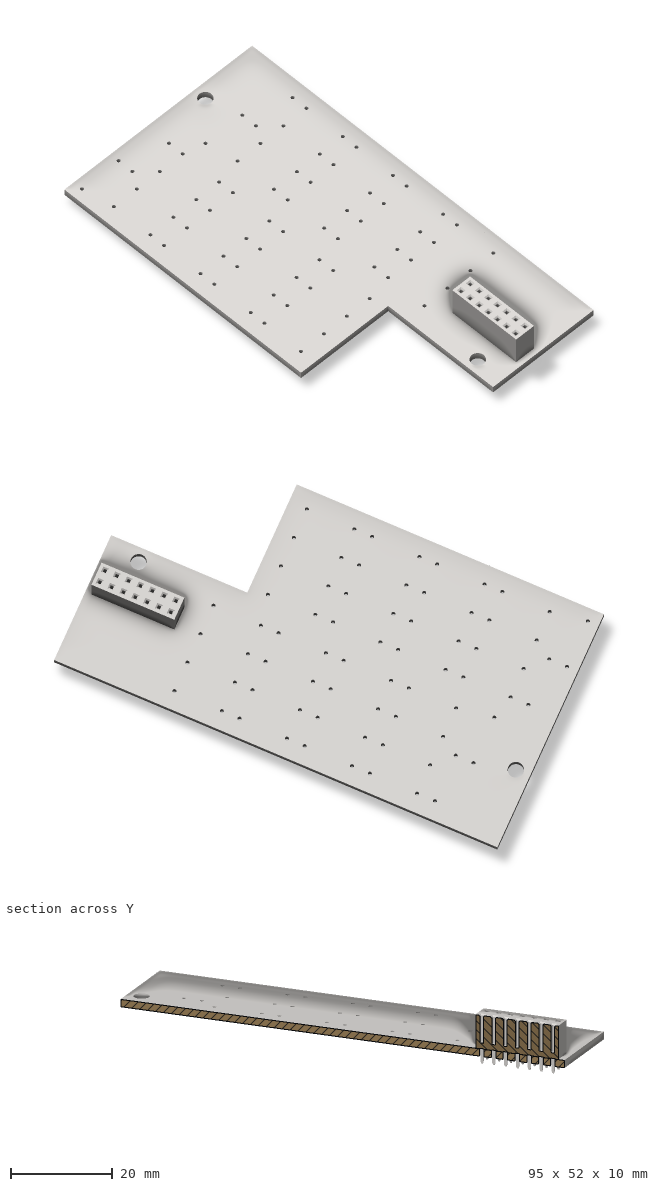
import cadquery as cq

header_length = 17.8
header_columns = 7
header_rows = 2
grid = header_length / header_columns

board_length = 95.0
board_depth = 52.0
board_thickness = 1.6
notch_left = 65.9
notch_bottom = 24.1

mount_hole_diameter = 3.2
mount_hole_centres = [(3.0, 36.0), (87.9, 27.0)]

lead_hole_diameter = 0.8
lead_span = 4 * grid
component_gap = 1.5 * grid
component_pitch = lead_span + component_gap
row_pitch = 2.5 * grid
rows_per_block = 4
components_per_row = 4
upright_components = 2
top_row_margin = 3.7
top_row_y = board_depth - top_row_margin
upper_block_x = 18.8
block_shift = 3.5 * grid
lower_block_x = upper_block_x - block_shift
lower_block_y = top_row_y - rows_per_block * row_pitch

header_height = 6.9
header_width = 4.9
header_columns_offset = 23
header_rows_offset = 6
first_pin_x = upper_block_x + header_columns_offset * grid
first_pin_y = top_row_y - header_rows_offset * grid
header_x = first_pin_x + (header_columns - 1) * grid / 2
header_y = first_pin_y + (header_rows - 1) * grid / 2

pin_width = 0.7
pin_thickness = 0.2
pin_tip_width = 0.3
pin_tip_height = 0.5
pin_drop = 1.5
pin_hole_diameter = 1.0

socket_mouth = 1.2
socket_width = 0.7
socket_funnel_depth = 0.3
socket_depth = 5.7


def pin_positions():
    return [
        (first_pin_x + column * grid, first_pin_y + row * grid)
        for column in range(header_columns)
        for row in range(header_rows)
    ]


def block_holes(left_x, top_y):
    """Lead holes of one block: rows of components lying along X, and two upright ones beside them."""
    holes = []
    for row in range(rows_per_block):
        for component in range(components_per_row):
            x = left_x + component * component_pitch
            y = top_y - row * row_pitch
            holes += [(x, y), (x + lead_span, y)]
    for step in range(upright_components):
        x = left_x - (step + 1) * component_gap
        y = top_y - step * lead_span
        holes += [(x, y), (x, y - lead_span)]
    return holes


def drill(body, centres, diameter):
    cutters = cq.Workplane("XY").pushPoints(centres).circle(diameter / 2).extrude(board_thickness)
    return body.cut(cutters)


def make_board():
    board = (
        cq.Workplane("XY")
        .moveTo(0, 0)
        .lineTo(notch_left, 0)
        .lineTo(notch_left, notch_bottom)
        .lineTo(board_length, notch_bottom)
        .lineTo(board_length, board_depth)
        .lineTo(0, board_depth)
        .close()
        .extrude(board_thickness)
    )
    lead_holes = block_holes(upper_block_x, top_row_y)
    lead_holes += block_holes(lower_block_x, lower_block_y)
    board = drill(board, lead_holes, lead_hole_diameter)
    board = drill(board, mount_hole_centres, mount_hole_diameter)
    return drill(board, pin_positions(), pin_hole_diameter)


def make_pin(x, y):
    """Flat pin running down from the header through the board to a tapered tip."""
    half_width = pin_width / 2
    half_tip = pin_tip_width / 2
    shoulder_z = pin_tip_height - pin_drop
    return (
        cq.Workplane("XZ", origin=(x, y, 0))
        .moveTo(-half_width, board_thickness)
        .lineTo(-half_width, shoulder_z)
        .lineTo(-half_tip, -pin_drop)
        .lineTo(half_tip, -pin_drop)
        .lineTo(half_width, shoulder_z)
        .lineTo(half_width, board_thickness)
        .close()
        .extrude(pin_thickness / 2, both=True)
    )


def make_socket(x, y):
    """Cutter for one square socket with a funnel-shaped mouth."""
    top = cq.Workplane("XY", origin=(x, y, board_thickness + header_height))
    funnel = (
        top.rect(socket_mouth, socket_mouth)
        .workplane(offset=-socket_funnel_depth)
        .rect(socket_width, socket_width)
        .loft()
    )
    return funnel.union(top.rect(socket_width, socket_width).extrude(-socket_depth))


def make_header():
    header = (
        cq.Workplane("XY", origin=(header_x, header_y, board_thickness))
        .rect(header_length, header_width)
        .extrude(header_height)
    )
    for x, y in pin_positions():
        header = header.cut(make_socket(x, y)).union(make_pin(x, y))
    return header


board = make_board()
header = make_header()
result = cq.Compound.makeCompound([board.val(), header.val()])